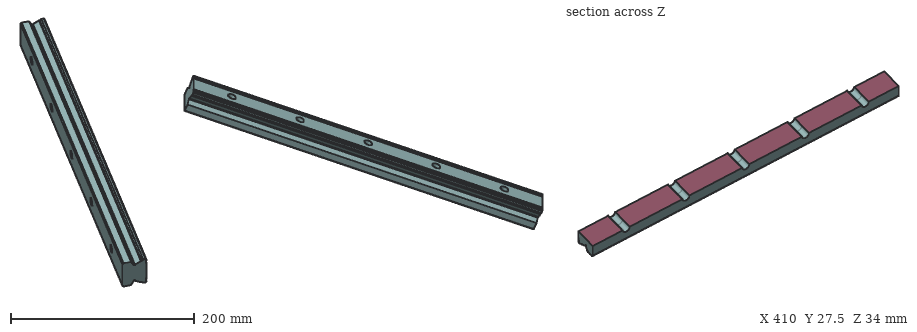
import cadquery as cq
import math

length = 410.0
depth = 27.5
height = 34.0

half_depth = depth / 2
half_height = height / 2

front_wall_angle = math.radians(60)
back_wall_angle = math.radians(30)
groove_front_edge = -4.0

slot_half_width = 0.6
slot_floor_depth = 5.9
back_wall_foot_depth = 5.3

lead_in_edge = 10.0
lead_in_angle = math.radians(40)
back_wall_top = 7.2

front_chamfer = 1.5
lip_chamfer = 1.2

back_relief_depth = 0.8
back_relief_inner_height = 11.5
back_relief_outer_height = 15.3

hole_diameter = 9.0
hole_pitch = 80.0
hole_count = 5


def upper_half_outline():
    """Points (Y, Z) of the upper half, from the front face round to the back face."""
    slot_floor = half_height - slot_floor_depth
    front_wall_run = -slot_half_width - groove_front_edge
    front_wall_foot = half_height - front_wall_run * math.tan(front_wall_angle)
    back_wall_foot = half_height - back_wall_foot_depth
    back_wall_rise = (back_wall_top - slot_half_width) * math.tan(back_wall_angle)
    lead_in_flat = back_wall_foot + back_wall_rise
    lead_in_run = (half_height - lead_in_flat) / math.tan(lead_in_angle)
    relief_face = half_depth - back_relief_depth
    return [
        (-half_depth, half_height - front_chamfer),
        (-half_depth + front_chamfer, half_height),
        (groove_front_edge, half_height),
        (-slot_half_width, front_wall_foot),
        (-slot_half_width, slot_floor),
        (slot_half_width, slot_floor),
        (slot_half_width, back_wall_foot),
        (back_wall_top, lead_in_flat),
        (lead_in_edge - lead_in_run, lead_in_flat),
        (lead_in_edge, half_height),
        (half_depth - lip_chamfer, half_height),
        (half_depth, half_height - lip_chamfer),
        (half_depth, back_relief_outer_height),
        (relief_face, back_relief_outer_height),
        (relief_face, back_relief_inner_height),
        (half_depth, back_relief_inner_height),
    ]


def make_rail():
    """Extrude the profile, which is symmetric about Z = 0, along X."""
    upper = upper_half_outline()
    lower = [(y, -z) for y, z in reversed(upper)]
    profile = cq.Workplane("YZ").polyline(upper + lower).close()
    return profile.extrude(length / 2, both=True)


def make_mounting_holes():
    """Row of plain through holes along Y, centred on the rail."""
    return (
        cq.Workplane("XZ")
        .rarray(hole_pitch, 1.0, hole_count, 1)
        .circle(hole_diameter / 2)
        .extrude(depth, both=True)
    )


result = make_rail().cut(make_mounting_holes())